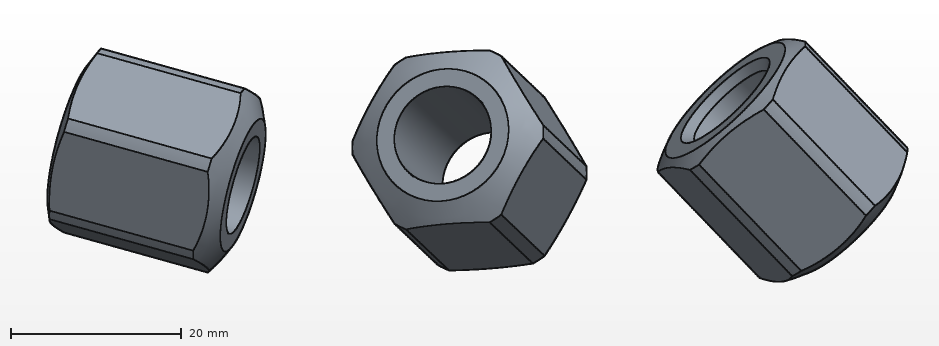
import cadquery as cq
import math

length = 21.0
across_flats = 21.0
corner_diameter = 23.35

bore_diameter = 11.85
countersink_diameter = 14.0
countersink_depth = (countersink_diameter - bore_diameter) / 2

chamfer_face_diameter = 18.91
chamfer_depth = 1.07

seat_sphere_radius = 19.85
seat_face_diameter = 16.1

left_x = -length / 2
right_x = length / 2


def hexagonal_bar():
    """Hexagon bar with flats facing +Z and -Z and corners along Y."""
    across_corners = across_flats / math.cos(math.pi / 6)
    return cq.Workplane("YZ", origin=(left_x, 0, 0)).polygon(6, across_corners).extrude(length)


def turned_envelope():
    """Solid of revolution that trims the corners and both ends of the bar."""
    radius = corner_diameter / 2
    seat_face_radius = seat_face_diameter / 2
    sphere_center_x = right_x - math.sqrt(seat_sphere_radius**2 - seat_face_radius**2)

    def seat_point(r):
        return (sphere_center_x + math.sqrt(seat_sphere_radius**2 - r**2), r)

    return (
        cq.Workplane("XY")
        .moveTo(left_x, 0)
        .lineTo(left_x, chamfer_face_diameter / 2)
        .lineTo(left_x + chamfer_depth, radius)
        .lineTo(*seat_point(radius))
        .threePointArc(seat_point((radius + seat_face_radius) / 2), seat_point(seat_face_radius))
        .lineTo(right_x, 0)
        .close()
        .revolve(360, (0, 0, 0), (1, 0, 0))
    )


def bore():
    """Through bore with a countersink at the -X end."""
    bore_radius = bore_diameter / 2
    return (
        cq.Workplane("XY")
        .moveTo(left_x, 0)
        .lineTo(left_x, countersink_diameter / 2)
        .lineTo(left_x + countersink_depth, bore_radius)
        .lineTo(right_x, bore_radius)
        .lineTo(right_x, 0)
        .close()
        .revolve(360, (0, 0, 0), (1, 0, 0))
    )


result = hexagonal_bar().intersect(turned_envelope()).cut(bore())